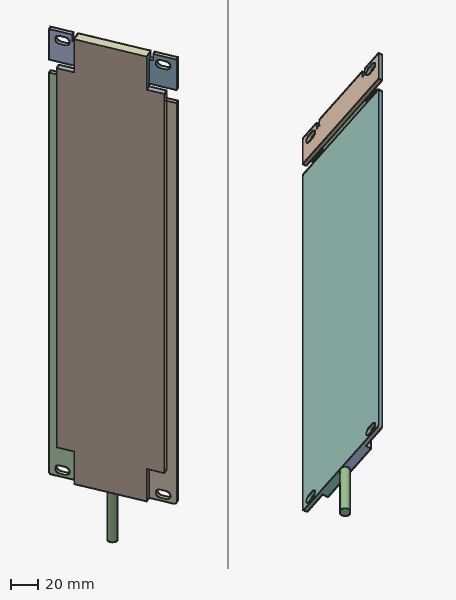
import cadquery as cq

width = 100.0
total_height = 459.0
cable_length = 46.0
cable_diameter = 8.0
plate_thickness = 3.0
cover_thickness = cable_diameter - plate_thickness

corner_radius = 2.5
gap_bottom = 418.5
gap_top = 430.5
relief_width = 3.0
relief_depth = 6.0

cover_width = 84.5
neck_width = 57.0
cover_bottom = 76.0
cover_top = 428.2

slot_length = 11.5
slot_width = 7.5
slot_spacing_x = 79.0
slot_inset_bottom = 6.5
slot_inset_top = 8.0

back_face = cable_diameter / 2
plate_front = back_face - plate_thickness
cover_front = plate_front - cover_thickness


def block(x_size, x_center, y_low, y_high, z_low, z_high):
    """Box given by its X size and center and its Y and Z limits."""
    return cq.Workplane("XY").box(x_size, y_high - y_low, z_high - z_low).translate(
        (x_center, (y_low + y_high) / 2, (z_low + z_high) / 2)
    )


def make_plate():
    plate = block(width, 0, plate_front, back_face, cable_length, total_height)
    plate = plate.edges("|Y and <Z").fillet(corner_radius)

    plate = plate.cut(block(width, 0, plate_front, back_face, gap_bottom, gap_top))

    for side in (-1, 1):
        relief_center = side * (neck_width + relief_width) / 2
        plate = plate.cut(
            block(relief_width, relief_center, plate_front, back_face,
                  total_height - relief_depth, total_height)
        )

    slot_heights = (cable_length + slot_inset_bottom, total_height - slot_inset_top)
    slots = (
        cq.Workplane("XZ", origin=(0, back_face, 0))
        .pushPoints([(side * slot_spacing_x / 2, z) for side in (-1, 1) for z in slot_heights])
        .slot2D(slot_length, slot_width)
        .extrude(plate_thickness)
    )
    return plate.cut(slots)


def make_cover():
    body = block(cover_width, 0, cover_front, plate_front, cover_bottom, cover_top)
    neck = block(neck_width, 0, cover_front, plate_front, cable_length, total_height)
    return body.union(neck)


def make_cable():
    return cq.Workplane("XY").circle(cable_diameter / 2).extrude(cable_length)


result = make_plate().union(make_cover()).union(make_cable())